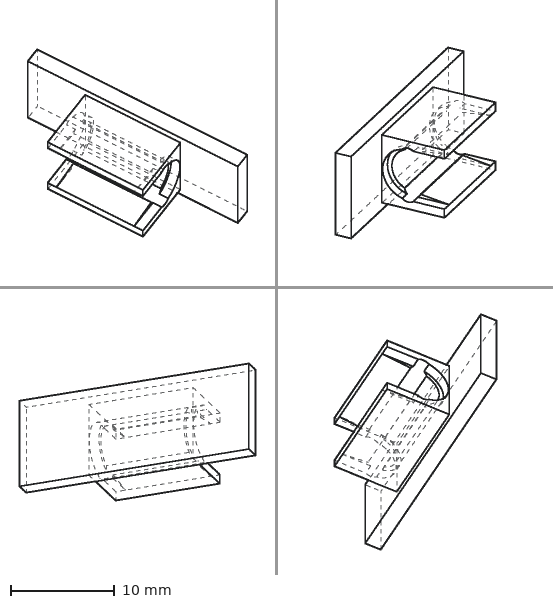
import cadquery as cq

plate_length = 24.0
plate_height = 9.0
plate_thickness = 1.7

clip_length = 10.9
clip_depth = 6.8
clip_height = 7.45

seat_radius = 2.75
seat_wall = 0.1
bore_radius = 2.28
end_seat_length = 1.0
bore_length = clip_length - 2 * end_seat_length
axis_y = -(seat_wall + seat_radius)

throat_half_height = 2.38
throat_y = -3.72
mouth_half_height = seat_radius

groove_radius = 0.9
groove_offset = 2.06


def x_cylinder(radius, length, y, z=0):
    """Cylinder along X, centred on X = 0."""
    return cq.Workplane("YZ").center(y, z).circle(radius).extrude(length / 2, both=True)


def make_plate():
    return cq.Workplane("XY").box(plate_length, plate_thickness, plate_height).translate(
        (0, plate_thickness / 2, 0)
    )


def make_clip_body():
    return cq.Workplane("XY").box(clip_length, clip_depth, clip_height).translate(
        (0, -clip_depth / 2, 0)
    )


def make_end_seat(side):
    """Wide U-shaped seat at one end; side is -1 or 1 along X."""
    slot_depth = clip_depth + axis_y
    slot = cq.Workplane("XY").box(end_seat_length, slot_depth, 2 * seat_radius).translate(
        (0, axis_y - slot_depth / 2, 0)
    )
    seat = x_cylinder(seat_radius, end_seat_length, axis_y).union(slot)
    return seat.translate((side * (clip_length - end_seat_length) / 2, 0, 0))


def make_flared_mouth():
    """Opening between the arms, widening from the throat to the mouth."""
    return (
        cq.Workplane("YZ")
        .polyline([
            (axis_y, throat_half_height),
            (throat_y, throat_half_height),
            (-clip_depth, mouth_half_height),
            (-clip_depth, -mouth_half_height),
            (throat_y, -throat_half_height),
            (axis_y, -throat_half_height),
        ])
        .close()
        .extrude(bore_length / 2, both=True)
    )


clip = make_clip_body().cut(x_cylinder(bore_radius, bore_length, axis_y)).cut(make_flared_mouth())
for side in (-1, 1):
    clip = clip.cut(make_end_seat(side))
    clip = clip.cut(x_cylinder(groove_radius, clip_length, axis_y, side * groove_offset))

result = make_plate().union(clip)